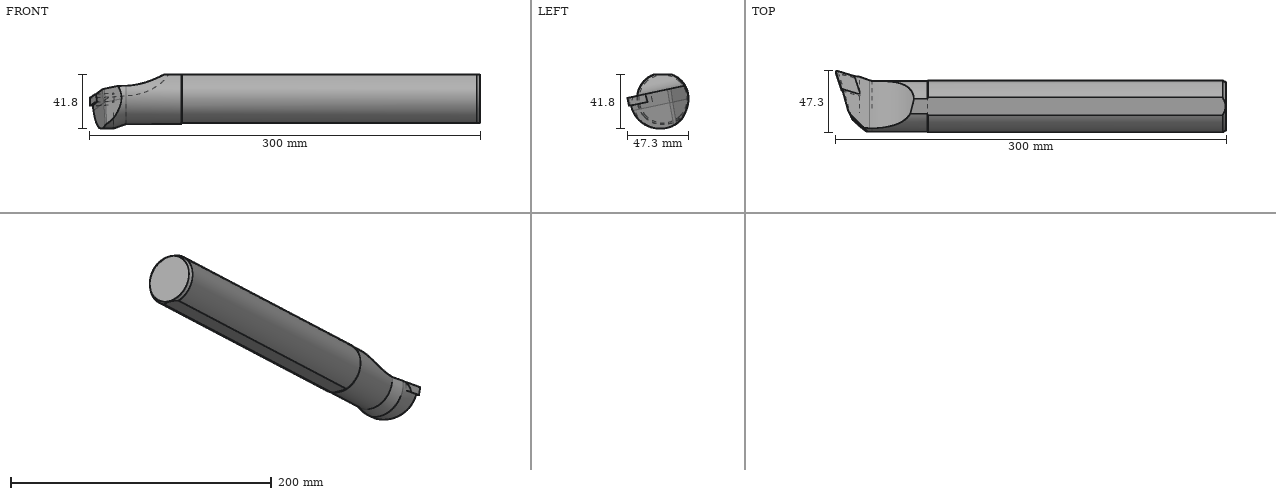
import cadquery as cq
import math

LENGTH = 300.0
SHANK_DIAMETER = 40.0
SHANK_RADIUS = SHANK_DIAMETER / 2
WIDTH_ACROSS_FLATS = 37.5
FLAT_HEIGHT = WIDTH_ACROSS_FLATS / 2
NECK_DIAMETER = 39.3
NECK_RADIUS = NECK_DIAMETER / 2
NECK_START = 27.5
SHANK_START = 70.2
STEP_LENGTH = 0.5
END_CHAMFER_LENGTH = 2.7
END_CHAMFER_DEPTH = 1.5
CUT_SIZE = 120.0

HEAD_FRONT_X = -6.0
HEAD_FRONT_RADIUS = 22.8
HEAD_MIDDLE_X = 18.0
HEAD_MIDDLE_RADIUS = 21.3
HEAD_BOTTOM = -23.0

RAKE_ANGLE = 12.0
RAKE_HEIGHT = 6.3
GOUGE_START = 25.5
GOUGE_RADIUS = 51.5

NOSE_TOP = (0.3, 28.5)
KINK_UPPER = (9.3, -4.8)
KINK_LOWER = (10.8, -7.5)
HEEL = (25.2, -22.0)
UPPER_RELIEF = 7.0
LOWER_RELIEF = 4.0
RELIEF_CHANGE_DEPTH = 10.2
HEAD_STOCK = 12.0

INSERT_CORNER = (-0.45, 27.0)
INSERT_EDGE = 15.3
INSERT_ANGLE = 55.0
INSERT_EDGE_DIRECTION = -17.0
INSERT_THICKNESS = 6.3
INSERT_NOSE_RADIUS = 0.8

TILT = math.radians(RAKE_ANGLE)
RAKE_NORMAL = cq.Vector(0, math.sin(TILT), math.cos(TILT))
RAKE_ACROSS = cq.Vector(0, math.cos(TILT), -math.sin(TILT))
BAR_AXIS = cq.Vector(1, 0, 0)


def rake_workplane(height):
    """Workplane parallel to the rake plane; its X is the bar axis."""
    return cq.Workplane(cq.Plane(RAKE_NORMAL * height, BAR_AXIS, RAKE_NORMAL))


def make_shank():
    end_radius = SHANK_RADIUS - END_CHAMFER_DEPTH
    shank = (
        cq.Workplane("XY")
        .moveTo(SHANK_START, 0)
        .lineTo(SHANK_START, NECK_RADIUS)
        .lineTo(SHANK_START + STEP_LENGTH, SHANK_RADIUS)
        .lineTo(LENGTH - END_CHAMFER_LENGTH, SHANK_RADIUS)
        .lineTo(LENGTH, end_radius)
        .lineTo(LENGTH, 0)
        .close()
        .revolve(360, (0, 0, 0), BAR_AXIS.toTuple())
    )
    flat_stock = cq.Workplane("XY").box(2 * LENGTH, CUT_SIZE, 2 * FLAT_HEIGHT)
    return shank.intersect(flat_stock)


def make_neck():
    """Round neck carrying only the upper flat."""
    neck = (
        cq.Workplane("YZ", origin=(NECK_START, 0, 0))
        .circle(NECK_RADIUS)
        .extrude(SHANK_START - NECK_START)
    )
    above_flat = (
        cq.Workplane("XY", origin=(0, 0, FLAT_HEIGHT))
        .rect(2 * LENGTH, CUT_SIZE)
        .extrude(CUT_SIZE)
    )
    return neck.cut(above_flat)


def head_circle(x, radius, center_z):
    center_y = radius - NECK_RADIUS
    return cq.Wire.makeCircle(radius, cq.Vector(x, center_y, center_z), BAR_AXIS)


def front_limit(depth, height, relief, setback):
    """Prism behind the front faces; they lean back by the relief angle.

    The outline belongs to the rake plane; setback moves it inward at the given height.
    """
    outline = [
        NOSE_TOP,
        KINK_UPPER,
        KINK_LOWER,
        HEEL,
        (HEEL[0] + CUT_SIZE, HEEL[1] - CUT_SIZE),
        (HEEL[0] + CUT_SIZE, CUT_SIZE),
        (NOSE_TOP[0], CUT_SIZE),
    ]
    plan = rake_workplane(height).polyline(outline).close()
    plan = plan.offset2D(-setback, "intersection")
    return plan.extrude(-depth, taper=relief)


def make_head():
    front = head_circle(HEAD_FRONT_X, HEAD_FRONT_RADIUS, HEAD_BOTTOM + HEAD_FRONT_RADIUS)
    middle = head_circle(HEAD_MIDDLE_X, HEAD_MIDDLE_RADIUS, HEAD_BOTTOM + HEAD_MIDDLE_RADIUS)
    back = head_circle(NECK_START, NECK_RADIUS, 0)
    blank = cq.Workplane(cq.Solid.makeLoft([front, middle], True))
    blank = blank.union(cq.Workplane(cq.Solid.makeLoft([middle, back], True)))

    upper_slope = math.tan(math.radians(UPPER_RELIEF))
    upper = front_limit(
        RELIEF_CHANGE_DEPTH + HEAD_STOCK,
        RAKE_HEIGHT + HEAD_STOCK,
        UPPER_RELIEF,
        -HEAD_STOCK * upper_slope,
    )
    lower = front_limit(
        CUT_SIZE / 2,
        RAKE_HEIGHT - RELIEF_CHANGE_DEPTH,
        LOWER_RELIEF,
        RELIEF_CHANGE_DEPTH * upper_slope,
    )
    return blank.intersect(upper.union(lower))


def make_gouge():
    """Clearance above the rake plane, rising in an arc through the top flat."""
    arc_middle = math.radians(45)
    profile = (
        cq.Workplane(cq.Plane((0, 0, 0), BAR_AXIS, -RAKE_ACROSS))
        .moveTo(-CUT_SIZE, RAKE_HEIGHT)
        .lineTo(GOUGE_START, RAKE_HEIGHT)
        .threePointArc(
            (
                GOUGE_START + GOUGE_RADIUS * math.sin(arc_middle),
                RAKE_HEIGHT + GOUGE_RADIUS * (1 - math.cos(arc_middle)),
            ),
            (GOUGE_START + GOUGE_RADIUS, RAKE_HEIGHT + GOUGE_RADIUS),
        )
        .lineTo(-CUT_SIZE, RAKE_HEIGHT + GOUGE_RADIUS)
        .close()
    )
    return profile.extrude(CUT_SIZE, both=True)


def make_insert():
    def edge(angle):
        direction = math.radians(angle)
        return cq.Vector(INSERT_EDGE * math.cos(direction), INSERT_EDGE * math.sin(direction))

    corner = cq.Vector(*INSERT_CORNER)
    side_edge = edge(INSERT_EDGE_DIRECTION)
    front_edge = edge(INSERT_EDGE_DIRECTION - INSERT_ANGLE)
    corners = [corner, corner + side_edge, corner + side_edge + front_edge, corner + front_edge]
    plate = (
        rake_workplane(RAKE_HEIGHT)
        .polyline([(point.x, point.y) for point in corners])
        .close()
        .extrude(-INSERT_THICKNESS)
    )
    corner_edges = cq.selectors.ParallelDirSelector(RAKE_NORMAL)
    return plate.edges(corner_edges).fillet(INSERT_NOSE_RADIUS)


insert = make_insert()
bar = make_shank().union(make_neck()).union(make_head()).cut(make_gouge()).cut(insert)

result = cq.Compound.makeCompound([*bar.solids().vals(), *insert.solids().vals()])